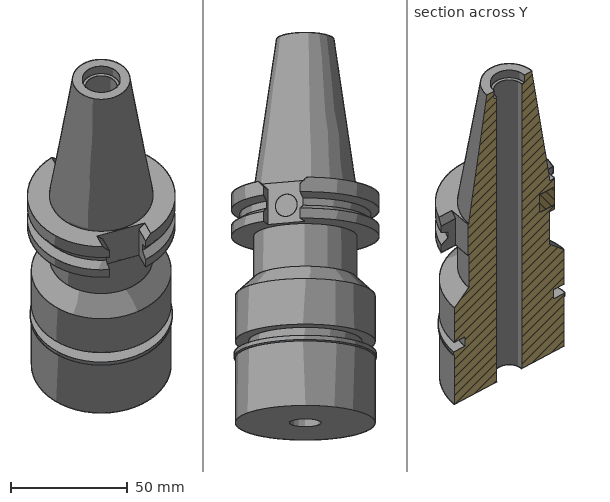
import cadquery as cq

total_height = 169.8
bore_radius = 6.8
overlap = 1.7

nose_radius = 30.0
nose_rim_radius = 30.5
nose_rim_bottom = 28.5
nose_rim_chamfer = 0.5
nose_height = 30.9

neck_radius = 24.5
chuck_radius = nose_radius
chuck_bottom = 36.0
chuck_top = 56.2
shank_radius = 22.3
shoulder_height = 7.5
shank_base = chuck_top + shoulder_height

flange_bottom = 82.5
flange_top = 100.7
flange_radius = 31.8
lower_rim_top = 87.0
groove_radius = 28.2
groove_bottom = 89.2
groove_top = 92.4
upper_rim_bottom = 94.3

taper_base = 101.7
taper_top_radius = 12.4
counterbore_radius = 8.2
counterbore_depth = 4.5

slot_width = 16.6
slot_chamfer = 2.7
left_slot_floor = 24.8
right_slot_floor = 22.8
plug_radius = 5.0
plug_depth = 8.2
plug_height = 90.4


def revolve_profile(profile):
    """Revolve a closed (radius, z) outline about the Z axis."""
    return cq.Workplane("XZ").polyline(profile).close().revolve(360, (0, 0, 0), (0, 1, 0))


def drive_slot(side, floor):
    """Cutter for a drive slot with chamfered upper edges; side is -1 or 1 along X."""
    half = slot_width / 2
    mouth = half + slot_chamfer
    outline = [
        (-half, flange_bottom - overlap),
        (half, flange_bottom - overlap),
        (half, flange_top - slot_chamfer),
        (mouth, flange_top),
        (-mouth, flange_top),
        (-half, flange_top - slot_chamfer),
    ]
    depth = flange_radius - floor + overlap
    return cq.Workplane("YZ").workplane(offset=side * floor).polyline(outline).close().extrude(side * depth)


def make_plug():
    """Round plug flush with the floor of the -X drive slot."""
    return (
        cq.Workplane("YZ")
        .workplane(offset=-left_slot_floor)
        .center(0, plug_height)
        .circle(plug_radius)
        .extrude(plug_depth)
    )


def make_holder(plug):
    """Tool holder: nose, neck, chuck body, shank, gripper flange and taper."""
    profile = [
        (bore_radius, 0),
        (nose_radius, 0),
        (nose_radius, nose_rim_bottom),
        (nose_rim_radius, nose_rim_bottom + nose_rim_chamfer),
        (nose_rim_radius, nose_height),
        (neck_radius, nose_height),
        (neck_radius, chuck_bottom),
        (chuck_radius, chuck_bottom),
        (chuck_radius, chuck_top),
        (shank_radius, shank_base),
        (shank_radius, flange_bottom),
        (flange_radius, flange_bottom),
        (flange_radius, lower_rim_top),
        (groove_radius, groove_bottom),
        (groove_radius, groove_top),
        (flange_radius, upper_rim_bottom),
        (flange_radius, flange_top),
        (shank_radius, flange_top),
        (shank_radius, taper_base),
        (taper_top_radius, total_height),
        (counterbore_radius, total_height),
        (counterbore_radius, total_height - counterbore_depth),
        (bore_radius, total_height - counterbore_depth),
    ]
    holder = revolve_profile(profile)
    for side, floor in ((-1, left_slot_floor), (1, right_slot_floor)):
        holder = holder.cut(drive_slot(side, floor))
    return holder.cut(plug)


plug = make_plug()
holder = make_holder(plug)
result = cq.Compound.makeCompound([holder.val(), plug.val()])